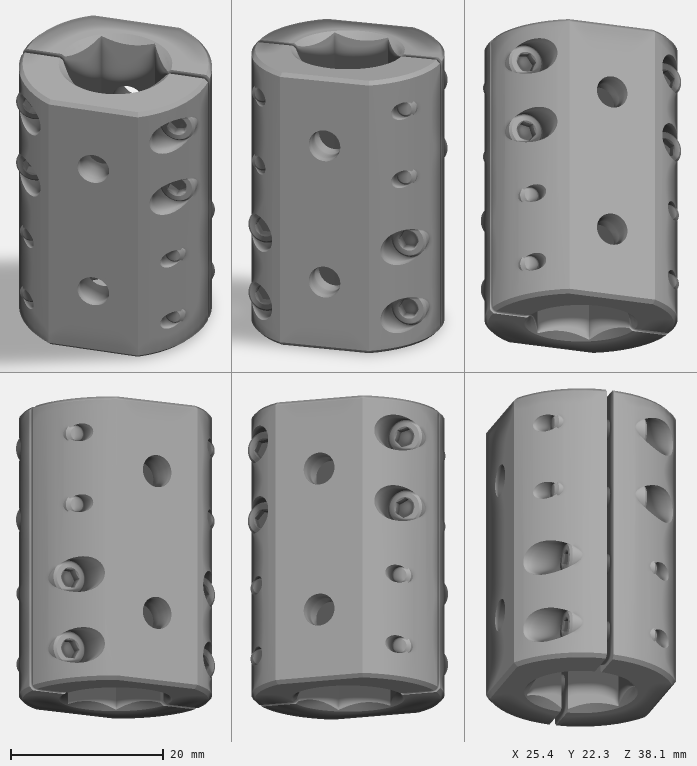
import cadquery as cq
import math

LENGTH = 38.1
OUTER_DIAMETER = 25.4
WIDTH_OVER_FLATS = 22.33
END_CHAMFER = 0.5
SPLIT_GAP = 0.9

BORE_ACROSS_FLATS = 12.6
LEAD_IN_DIAMETER = 14.95
LEAD_IN_ANGLE = 52.0

CROSS_HOLE_DIAMETER = 4.3
CROSS_HOLE_HEIGHTS = [-LENGTH / 4, LENGTH / 4]

SCREW_OFFSET = 9.8
INNER_ROW = LENGTH / 8
OUTER_ROW = 3 * LENGTH / 8
SCREW_PLACES = [
    (-SCREW_OFFSET, OUTER_ROW, -6),
    (SCREW_OFFSET, OUTER_ROW, -14),
    (-SCREW_OFFSET, INNER_ROW, 12),
    (SCREW_OFFSET, INNER_ROW, -25),
    (-SCREW_OFFSET, -INNER_ROW, 0),
    (SCREW_OFFSET, -INNER_ROW, 0),
    (-SCREW_OFFSET, -OUTER_ROW, 0),
    (SCREW_OFFSET, -OUTER_ROW, 0),
]
SEAT_DEPTH = 2.48
HEAD_DIAMETER = 4.75
HEAD_HEIGHT = 2.85
HEAD_CHAMFER = 0.3
SHANK_DIAMETER = 2.85
SHANK_LENGTH = 9.52
TIP_DIAMETER = 1.83
TIP_CHAMFER_LENGTH = 0.42
SOCKET_ACROSS_FLATS = 2.4
SOCKET_DEPTH = HEAD_HEIGHT / 2
SOCKET_LEAD_IN_DIAMETER = 2.82
SOCKET_LEAD_IN_ANGLE = 45.0
TAP_HOLE_DIAMETER = 2.35


def hexagon_prism(across_flats, height):
    """Upright hexagonal prism on the XY plane, with two flats facing +Y and -Y."""
    across_corners = across_flats / math.cos(math.radians(30))
    return cq.Workplane("XY").polygon(6, across_corners).extrude(height)


def make_lead_in(diameter, angle):
    """Cone standing on the XY plane, with its side at the given angle to the Z axis."""
    radius = diameter / 2
    height = radius / math.tan(math.radians(angle))
    return cq.Workplane(cq.Solid.makeCone(radius, 0, height))


def make_shank():
    """Screw shank along +Z from the XY plane, with a chamfered tip."""
    return (
        cq.Workplane("XY")
        .circle(SHANK_DIAMETER / 2)
        .extrude(SHANK_LENGTH)
        .faces(">Z")
        .chamfer(TIP_CHAMFER_LENGTH, (SHANK_DIAMETER - TIP_DIAMETER) / 2)
    )


def make_screw():
    """Screw along +Z with the underside of its head on the XY plane and its socket facing -Z."""
    head = (
        cq.Workplane("XY")
        .circle(HEAD_DIAMETER / 2)
        .extrude(-HEAD_HEIGHT)
        .faces("<Z")
        .chamfer(HEAD_CHAMFER)
    )
    socket = hexagon_prism(SOCKET_ACROSS_FLATS, SOCKET_DEPTH)
    lead_in = make_lead_in(SOCKET_LEAD_IN_DIAMETER, SOCKET_LEAD_IN_ANGLE)
    socket = socket.union(lead_in).translate((0, 0, -HEAD_HEIGHT))
    return head.union(make_shank()).cut(socket)


def make_screw_space():
    """Stepped hole that takes one screw: counterbore, bore fitting the shank and tap hole."""
    counterbore = cq.Workplane("XY").circle(HEAD_DIAMETER / 2).extrude(-OUTER_DIAMETER / 2)
    tap_hole = cq.Workplane("XY").circle(TAP_HOLE_DIAMETER / 2).extrude(OUTER_DIAMETER)
    return counterbore.union(make_shank()).union(tap_hole)


def place_at_screw(body, x, z):
    """Move a body from the screw's own axes to one screw position.

    Heads sit in the front half (-Y) above the middle and in the back half (+Y) below it.
    """
    head_side = -1 if z > 0 else 1
    tilted = body.rotate((0, 0, 0), (1, 0, 0), 90 * head_side)
    return tilted.translate((x, head_side * SEAT_DEPTH, z))


def make_clamp():
    """Whole clamp body before it is split into halves."""
    bar = cq.Workplane("XY").circle(OUTER_DIAMETER / 2).extrude(LENGTH / 2, both=True)
    flats = cq.Workplane("XY").box(OUTER_DIAMETER, WIDTH_OVER_FLATS, LENGTH)
    clamp = bar.intersect(flats).faces("<Z or >Z").chamfer(END_CHAMFER)

    bore = hexagon_prism(BORE_ACROSS_FLATS, LENGTH).translate((0, 0, -LENGTH / 2))
    lower_lead_in = make_lead_in(LEAD_IN_DIAMETER, LEAD_IN_ANGLE).translate((0, 0, -LENGTH / 2))
    clamp = clamp.cut(bore).cut(lower_lead_in).cut(lower_lead_in.mirror("XY"))

    for z in CROSS_HOLE_HEIGHTS:
        cross_hole = cq.Workplane("XZ").circle(CROSS_HOLE_DIAMETER / 2).extrude(WIDTH_OVER_FLATS, both=True)
        clamp = clamp.cut(cross_hole.translate((0, 0, z)))

    screw_space = make_screw_space()
    for x, z, _ in SCREW_PLACES:
        clamp = clamp.cut(place_at_screw(screw_space, x, z))
    return clamp


def make_half(clamp, side):
    """Clamp half on the +Y (side = 1) or -Y (side = -1) side of the split."""
    keep = cq.Workplane("XY").box(OUTER_DIAMETER, OUTER_DIAMETER, LENGTH)
    return clamp.intersect(keep.translate((0, side * (OUTER_DIAMETER + SPLIT_GAP) / 2, 0)))


clamp = make_clamp()
front_half = make_half(clamp, -1)
back_half = make_half(clamp, 1)

screw = make_screw()
screws = []
for x, z, turn in SCREW_PLACES:
    turned_screw = screw.rotate((0, 0, 0), (0, 0, 1), turn)
    screws.append(place_at_screw(turned_screw, x, z).val())

result = cq.Compound.makeCompound([front_half.val(), back_half.val(), *screws])